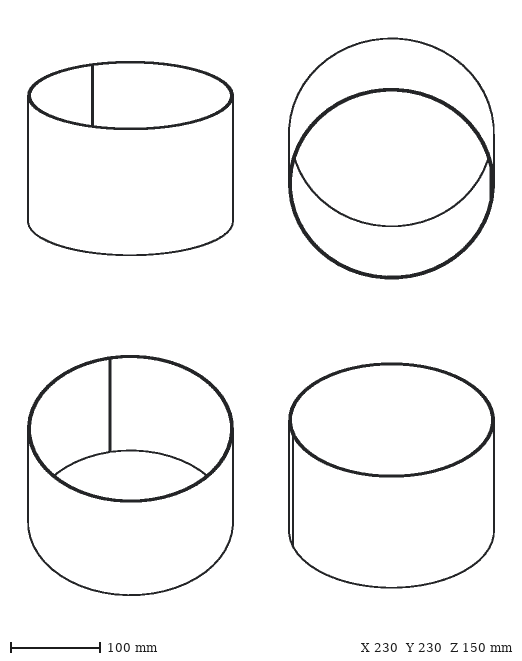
import cadquery as cq

outer_diameter = 230.0
height = 150.0
wall = 2.5
slit_width = 1.8
rim_chamfer = 0.5

outer_radius = outer_diameter / 2

sleeve = (
    cq.Workplane("XY")
    .circle(outer_radius)
    .circle(outer_radius - wall)
    .extrude(height)
    .edges("%CIRCLE")
    .chamfer(rim_chamfer)
)

slit = (
    cq.Workplane("XY")
    .box(outer_diameter, slit_width, height, centered=(True, False, False))
    .translate((-outer_radius, 0, 0))
)

result = sleeve.cut(slit)